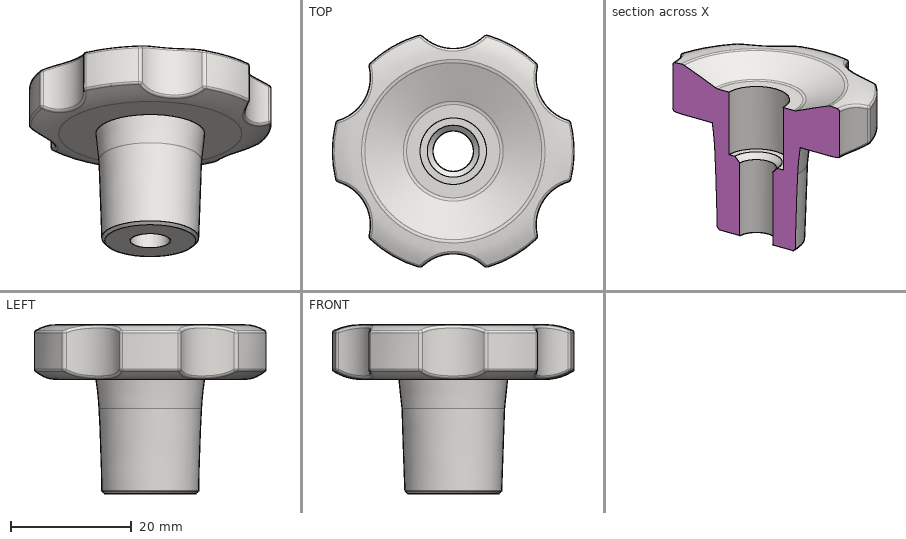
import cadquery as cq
import math

total_height = 28.01
head_thickness = 9.1
head_bottom = total_height - head_thickness
head_middle = head_bottom + head_thickness / 2

head_radius = 20.0
face_radius = 15.15
upper_shoulder_drop = 1.1
lower_shoulder_drop = 1.5
grip_count = 6
grip_radius = 7.4
grip_root_radius = 17.0
lobe_corner_fillet = 0.73
rim_fillet = 0.5

dish_top_radius = 14.9
dish_floor_radius = 8.0
dish_depth = 2.65
dish_fillet = 1.5
dish_floor = total_height - dish_depth
match_tolerance = 1e-4

stem_foot_radius = 8.03
stem_neck_radius = 8.5
stem_top_radius = 9.0
neck_height = 4.8
neck_bottom = head_bottom - neck_height
stem_chamfer = 0.5

bore_diameter = 11.0
hole_diameter = 6.65
countersink_diameter = 8.6
bore_floor = neck_bottom


def shoulder_points(face_z, rim_z):
    """Middle and end of a shoulder arc that leaves the flat face tangentially."""
    run = head_radius - face_radius
    drop = abs(rim_z - face_z)
    toward_rim = math.copysign(1, rim_z - face_z)
    arc_radius = (run**2 + drop**2) / (2 * drop)
    half_angle = math.asin(run / arc_radius) / 2
    middle_r = face_radius + arc_radius * math.sin(half_angle)
    middle_z = face_z + toward_rim * arc_radius * (1 - math.cos(half_angle))
    return (middle_r, middle_z), (head_radius, rim_z)


def revolve_profile(points):
    """Turn a closed (radius, height) outline into a solid about the Z axis."""
    return cq.Workplane("XZ").polyline(points).close().revolve(360, (0, 0, 0), (0, 1, 0))


def is_rim_edge(edge):
    """True for the edges where the shoulders meet the lobes and scallops."""
    center = edge.Center()
    off_middle = abs(center.z - head_middle) > head_thickness / 4
    return off_middle and math.hypot(center.x, center.y) > face_radius


def is_dish_edge(edge):
    """True for the two sharp circles that bound the dish, above and on its floor."""
    if edge.geomType() != "CIRCLE" or edge.Center().z < head_middle:
        return False
    dish_radii = (dish_top_radius, dish_floor_radius)
    return any(math.isclose(edge.radius(), radius, abs_tol=match_tolerance) for radius in dish_radii)


def make_head():
    """Disc with domed shoulders, scalloped and rounded along every rim edge."""
    lower_middle, lower_rim = shoulder_points(head_bottom, head_bottom + lower_shoulder_drop)
    upper_middle, upper_rim = shoulder_points(total_height, total_height - upper_shoulder_drop)
    disc = (
        cq.Workplane("XZ")
        .moveTo(0, head_bottom)
        .lineTo(face_radius, head_bottom)
        .threePointArc(lower_middle, lower_rim)
        .lineTo(*upper_rim)
        .threePointArc(upper_middle, (face_radius, total_height))
        .lineTo(0, total_height)
        .close()
        .revolve(360, (0, 0, 0), (0, 1, 0))
    )
    grips = (
        cq.Workplane("XY", origin=(0, 0, head_bottom))
        .polarArray(grip_root_radius + grip_radius, 90, 360, grip_count)
        .circle(grip_radius)
        .extrude(head_thickness)
    )
    scalloped = disc.cut(grips)
    cornered = scalloped.edges("|Z").fillet(lobe_corner_fillet)
    return cornered.edges().filter(is_rim_edge).fillet(rim_fillet)


def make_stem():
    """Drafted stem with a steeper neck and a chamfered foot."""
    profile = [
        (0, 0),
        (stem_foot_radius - stem_chamfer, 0),
        (stem_foot_radius, stem_chamfer),
        (stem_neck_radius, neck_bottom),
        (stem_top_radius, head_bottom),
        (0, head_bottom),
    ]
    return revolve_profile(profile)


def cut_dish(body):
    """Sink the conical dish and round its crest and the edge of its floor."""
    profile = [
        (0, dish_floor),
        (dish_floor_radius, dish_floor),
        (dish_top_radius, total_height),
        (0, total_height),
    ]
    dished = body.cut(revolve_profile(profile))
    return dished.edges().filter(is_dish_edge).fillet(dish_fillet)


def cut_bore(body):
    """Wide blind bore from the dish floor, then a countersunk through hole."""
    bore_radius = bore_diameter / 2
    hole_radius = hole_diameter / 2
    countersink_radius = countersink_diameter / 2
    countersink_depth = countersink_radius - hole_radius
    profile = [
        (0, 0),
        (hole_radius, 0),
        (hole_radius, bore_floor - countersink_depth),
        (countersink_radius, bore_floor),
        (bore_radius, bore_floor),
        (bore_radius, total_height),
        (0, total_height),
    ]
    return body.cut(revolve_profile(profile))


result = cut_bore(cut_dish(make_head().union(make_stem())))